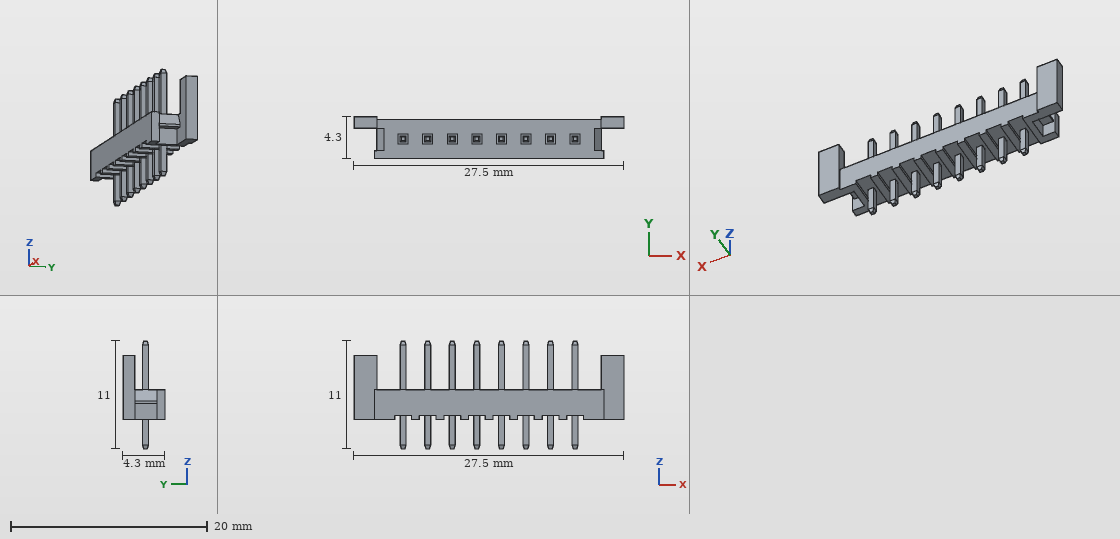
import cadquery as cq

LENGTH = 27.5
DEPTH = 4.3
HEIGHT = 11.0

body_length = 23.38
body_height = 3.05
body_rear_inset = 0.3

post_width = 2.35
post_depth = 1.2
post_height = 6.55

lip_depth = 0.82
pocket_half_span = 10.28
latch_top_half_span = 10.72
latch_tip_half_span = 11.47
latch_slope_height = 1.15
latch_edge_height = 0.25

pin_count = 8
pin_pitch = 2.5
pin_width = 0.63
pin_tip_width = 0.35
pin_tip_height = 0.4
pin_y = -2.28
pin_bottom = -3.0
pin_top = pin_bottom + HEIGHT

well_width = 1.02
well_depth = 0.4
slot_width = 1.68
slot_height = 0.4

pin_positions = [(i - (pin_count - 1) / 2) * pin_pitch for i in range(pin_count)]


def block(x_min, x_max, y_min, y_max, z_min, z_max):
    """Box given by its limits along each axis."""
    size = (x_max - x_min, y_max - y_min, z_max - z_min)
    return cq.Workplane("XY").box(*size, centered=False).translate((x_min, y_min, z_min))


def post():
    """Left-hand upright post."""
    x_min = -LENGTH / 2
    return block(x_min, x_min + post_width, -post_depth, 0, 0, post_height)


def end_pocket():
    """Left-hand pocket, shaped to leave the overhanging latch wedge standing."""
    outer_x = -LENGTH / 2
    edge_top = body_height - latch_slope_height
    edge_bottom = edge_top - latch_edge_height
    outline = [
        (outer_x, 0),
        (-pocket_half_span, 0),
        (-pocket_half_span, edge_bottom),
        (-latch_tip_half_span, edge_bottom),
        (-latch_tip_half_span, edge_top),
        (-latch_top_half_span, body_height),
        (outer_x, body_height),
    ]
    pocket_length = DEPTH - lip_depth - post_depth
    return cq.Workplane("XZ", origin=(0, -post_depth, 0)).polyline(outline).close().extrude(pocket_length)


def pin_tip(x, base_z, end_z):
    """Square taper from the full pin width at base_z to the blunt tip at end_z."""
    return (
        cq.Workplane("XY", origin=(x, pin_y, base_z))
        .rect(pin_width, pin_width)
        .workplane(offset=end_z - base_z)
        .rect(pin_tip_width, pin_tip_width)
        .loft(ruled=True)
    )


def pin(x):
    """Square pin, tapered at both ends."""
    shank_bottom = pin_bottom + pin_tip_height
    shank_top = pin_top - pin_tip_height
    half = pin_width / 2
    shank = block(x - half, x + half, pin_y - half, pin_y + half, shank_bottom, shank_top)
    return shank.union(pin_tip(x, shank_top, pin_top)).union(pin_tip(x, shank_bottom, pin_bottom))


def pin_well(x):
    """Square recess around a pin in the top of the housing."""
    half = well_width / 2
    return block(x - half, x + half, pin_y - half, pin_y + half, body_height - well_depth, body_height)


def bottom_slot(x):
    """Groove across the bottom of the housing below a pin."""
    half = slot_width / 2
    return block(x - half, x + half, -DEPTH, 0, 0, slot_height)


left_pocket = end_pocket()
left_post = post()

housing = block(-body_length / 2, body_length / 2, -DEPTH, -body_rear_inset, 0, body_height)
housing = housing.cut(left_pocket).cut(left_pocket.mirror("YZ"))
housing = housing.union(left_post).union(left_post.mirror("YZ"))

for pin_x in pin_positions:
    housing = housing.cut(pin_well(pin_x)).cut(bottom_slot(pin_x))

result = housing
for pin_x in pin_positions:
    result = result.union(pin(pin_x))